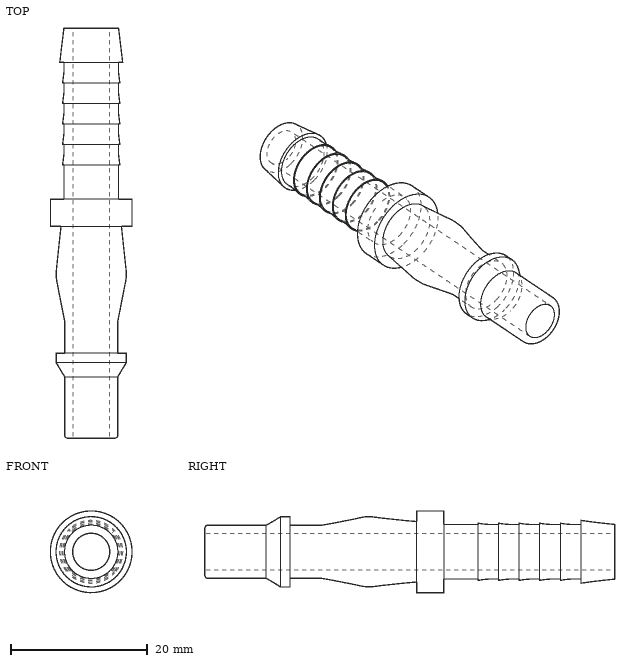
import cadquery as cq
import math

length = 60.0
bore_radius = 2.7

stem_radius = 4.0
barb_radius = 4.6
barb_length = 5.0
ridge_radius = 4.2
ridge_count = 5
ridge_pitch = 3.0
ridge_land = ridge_pitch / 2

collar_radius = 6.0
collar_start = 25.0
collar_end = 29.0

swell_start_radius = 4.45
crest_radius = 5.15
crest_station = 36.0
crest_rounding = 5.0
neck_radius = 3.9
neck_start = 42.9

lip_radius = 5.15
lip_start = 47.5
lip_width = 1.4
lip_cone_end = 51.0
tip_rounding = 0.5


def crest_arc():
    """Start, middle and end of the arc tangent to both cones of the swelling.

    Its highest point lies at the crest station and has the crest radius.
    """
    center_radius = crest_radius - crest_rounding

    def tangent_point(radius, station):
        """Point of the arc where a line from the given point touches it."""
        across = radius - center_radius
        along = station - crest_station
        bearing = math.atan2(along, across)
        spread = math.acos(crest_rounding / math.hypot(across, along))
        angle = bearing - math.copysign(spread, along)
        return (
            center_radius + crest_rounding * math.cos(angle),
            crest_station + crest_rounding * math.sin(angle),
        )

    return (
        tangent_point(swell_start_radius, collar_end),
        (crest_radius, crest_station),
        tangent_point(neck_radius, neck_start),
    )


def at(radius, station):
    """Sketch point at a radius and a distance from the back end."""
    return (radius, length / 2 - station)


profile = (
    cq.Workplane("XY")
    .moveTo(*at(bore_radius, 0))
    .lineTo(*at(stem_radius, 0))
    .lineTo(*at(barb_radius, barb_length))
    .lineTo(*at(stem_radius, barb_length))
)

for index in range(ridge_count):
    land_end = barb_length + index * ridge_pitch + ridge_land
    ridge_end = barb_length + (index + 1) * ridge_pitch
    profile = (
        profile.lineTo(*at(stem_radius, land_end))
        .lineTo(*at(ridge_radius, ridge_end))
        .lineTo(*at(stem_radius, ridge_end))
    )

arc_start, arc_middle, arc_end = crest_arc()
profile = (
    profile.lineTo(*at(stem_radius, collar_start))
    .lineTo(*at(collar_radius, collar_start))
    .lineTo(*at(collar_radius, collar_end))
    .lineTo(*at(swell_start_radius, collar_end))
    .lineTo(*at(*arc_start))
    .threePointArc(at(*arc_middle), at(*arc_end))
    .lineTo(*at(neck_radius, neck_start))
)

profile = (
    profile.lineTo(*at(neck_radius, lip_start))
    .lineTo(*at(lip_radius, lip_start))
    .lineTo(*at(lip_radius, lip_start + lip_width))
    .lineTo(*at(neck_radius, lip_cone_end))
    .lineTo(*at(neck_radius, length - tip_rounding))
    .tangentArcPoint(at(neck_radius - tip_rounding, length), relative=False)
    .lineTo(*at(bore_radius, length))
    .close()
)

result = profile.revolve(360, (0, 0, 0), (0, 1, 0))